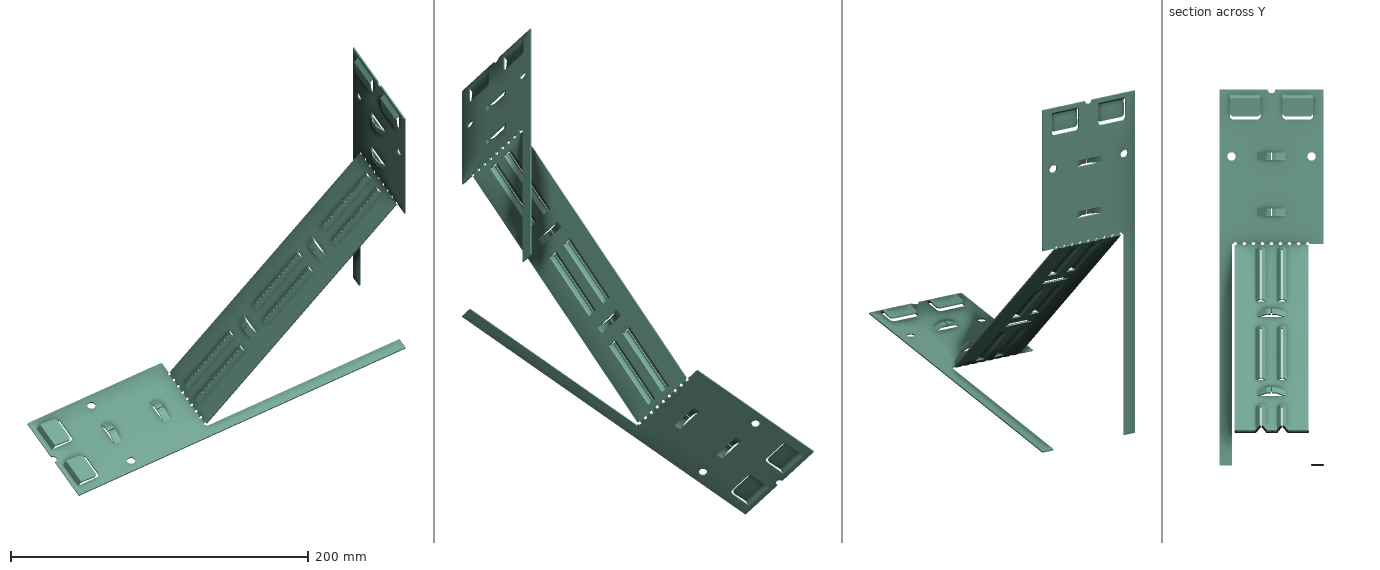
import cadquery as cq
sheet = 1.0
width = 70.0
height = 253.0
fold_height = 149.0

leg_width = 8.4

brace_width = 49.9
brace_length = (fold_height - sheet / 2) * 2 ** 0.5

perforation_diameter = 2.5
perforation_pitch = 6.0
perforation_count = 9

hole_diameter = 5.5
hole_spacing = 54.0
hole_height = 208.0
notch_radius = 2.5

tie_profile = [(9.9, 0), (4.3, 2.8), (3.0, 3.3)]
tie_length = 5.0
wing_tie_heights = (hole_height, 170.3)

ridge_profile = [(3.5, 0), (1.0, 2.3)]
ridge_length = 49.9
ridge_offset = 7.0
row_pitch = 75.0
row_count = 3

split_gap = 0.8

tab_width = 20.5
tab_offset = 17.7
tab_root = height - 3.3
tab_bend = height - 5.8
tab_tip = height - 18.2
tab_window_end = height - 20.2
tab_bend_rise = 3.0
tab_tip_rise = 2.0
tab_corner = 2.5


def bent_strip(plane, rise_points, length):
    """Sheet strip whose upper side follows (position, rise above the sheet) points."""
    upper = [(position, sheet + rise) for position, rise in rise_points]
    lower = [(position, rise) for position, rise in reversed(rise_points)]
    return cq.Workplane(plane).polyline(upper + lower).close().extrude(length / 2, both=True)


def add_split_arch(body, x, y, half_profile, length):
    """Replace a window in the sheet by a raised arch split along its crown."""
    half_span = half_profile[0][0]
    crown_rise = half_profile[-1][1]
    window = cq.Workplane().box(2 * half_span, length, sheet, centered=(True, True, False))
    split_height = crown_rise + sheet
    split = cq.Workplane().box(split_gap, length, split_height, centered=(True, True, False))
    profile = [(-distance, rise) for distance, rise in half_profile] + half_profile[::-1]
    arch = bent_strip("XZ", profile, length).cut(split)
    return body.cut(window.translate((x, y, 0))).union(arch.translate((x, y, 0)))


def add_tab(body, x):
    """Lance a window and leave a tab rising from its edge nearest the free edge."""
    window_length = tab_root - tab_window_end
    window = (
        cq.Workplane()
        .box(tab_width, window_length, sheet, centered=(True, False, False))
        .faces("<Y").edges("|Z").fillet(tab_corner)
        .translate((x, tab_window_end, 0))
    )
    profile = [(tab_root, 0), (tab_bend, tab_bend_rise), (tab_tip, tab_tip_rise)]
    tab = bent_strip("YZ", profile, tab_width).faces("<Y").edges("|Z").fillet(tab_corner)
    return body.cut(window).union(tab.translate((x, 0, 0)))


def perforations(y):
    """Row of small round cutters along a fold line."""
    return (
        cq.Workplane()
        .center(0, y)
        .rarray(perforation_pitch, 2.5, perforation_count, 1)
        .circle(perforation_diameter / 2)
        .extrude(sheet)
    )


def make_wing():
    """Wing lying flat, its outer side on the XY plane and its free edge at +Y."""
    half = width / 2
    leg_edge = leg_width - half
    body = (
        cq.Workplane()
        .moveTo(-half, 0)
        .lineTo(leg_edge, 0)
        .lineTo(leg_edge, fold_height)
        .lineTo(half, fold_height)
        .lineTo(half, height)
        .lineTo(notch_radius, height)
        .threePointArc((0, height - notch_radius), (-notch_radius, height))
        .lineTo(-half, height)
        .close()
        .extrude(sheet)
    )
    holes = (
        cq.Workplane()
        .center(0, hole_height)
        .rarray(hole_spacing, 2.5, 2, 1)
        .circle(hole_diameter / 2)
        .extrude(sheet)
    )
    body = body.cut(holes).cut(perforations(fold_height))
    for y in wing_tie_heights:
        body = add_split_arch(body, 0, y, tie_profile, tie_length)
    for side in (-1, 1):
        body = add_tab(body, side * tab_offset)
    return body


def make_brace():
    """Brace lying flat, centred on the origin, its raised features toward +Z."""
    body = cq.Workplane().box(brace_width, brace_length, sheet, centered=(True, True, False))
    for end in (-1, 1):
        body = body.cut(perforations(end * brace_length / 2))
    for row in range(row_count):
        y = (row - (row_count - 1) / 2) * row_pitch
        for side in (-1, 1):
            body = add_split_arch(body, side * ridge_offset, y, ridge_profile, ridge_length)
    for gap in range(row_count - 1):
        y = (gap - (row_count - 2) / 2) * row_pitch
        body = add_split_arch(body, 0, y, tie_profile, tie_length)
    return body


def place(body, plane):
    return cq.Workplane(body.val().moved(plane.location))


wing = make_wing()
upright = place(wing, cq.Plane((0, 0, 0), (1, 0, 0), (0, -1, 0)))
base = place(wing, cq.Plane((0, 0, 0), (-1, 0, 0), (0, 0, 1)))

brace_middle = cq.Vector(0, -(fold_height + sheet / 2) / 2, (fold_height + sheet / 2) / 2)
brace_normal = cq.Vector(0, -1, 1).normalized()
brace_origin = brace_middle - brace_normal * (sheet / 2)
brace = place(make_brace(), cq.Plane(brace_origin, (1, 0, 0), brace_normal))

result = upright.union(base).union(brace)